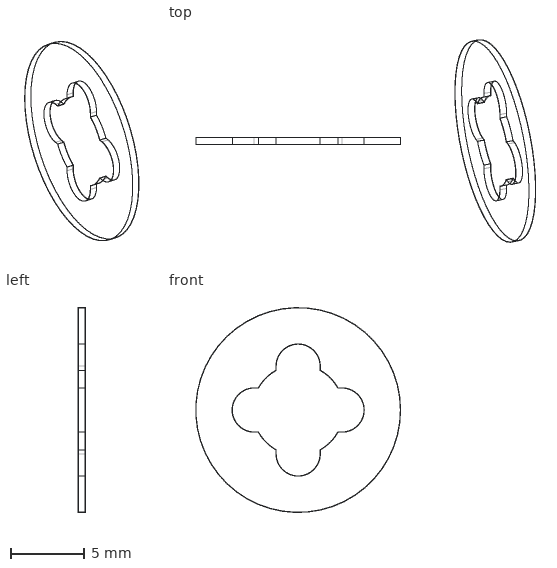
import cadquery as cq

outer_diameter = 14.0
thickness = 0.5

bore_diameter = 6.2
slot_width = 3.0
slot_length = 9.0
slot_angles = (0, 90)

back_face = cq.Workplane("XZ", origin=(0, thickness / 2, 0))


def disc(diameter):
    """Disc on the Y axis, as thick as the washer."""
    return back_face.circle(diameter / 2).extrude(thickness)


def slot_cutter(angle):
    """Round-ended slot through the centre, turned by angle from the X axis."""
    return back_face.slot2D(slot_length, slot_width, angle).extrude(thickness)


result = disc(outer_diameter).cut(disc(bore_diameter))
for slot_angle in slot_angles:
    result = result.cut(slot_cutter(slot_angle))